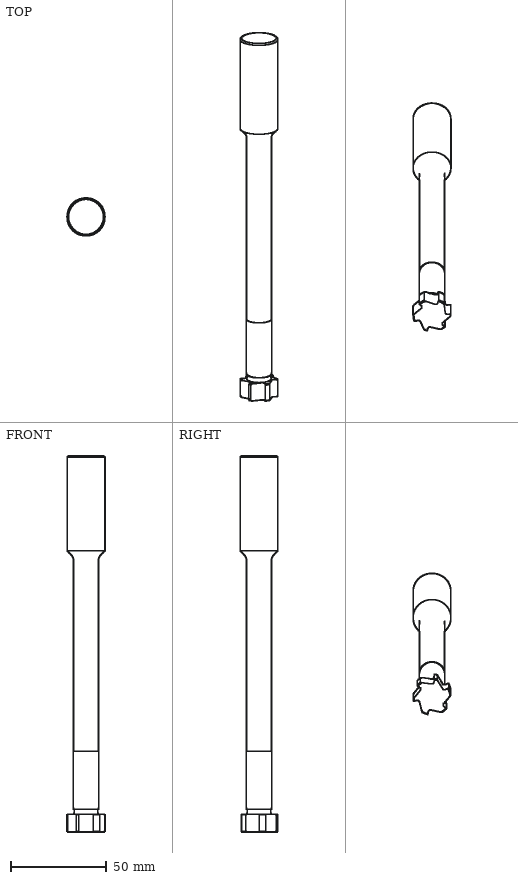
import cadquery as cq
import math


total_length = 198.0
grip_diameter = 20.0
grip_length = 50.0
grip_chamfer = 0.8
rod_diameter = 13.2
taper_diameter = 16.0
transition_radius = 4.5

extension_diameter = 13.65
extension_bottom = 12.1
extension_top = 42.6
extension_tip_diameter = 13.2
extension_tip_height = 0.9

neck_diameter = 12.41
neck_cone_diameter = 12.9
neck_cone_height = 1.0
head_diameter = 20.0
head_height = 9.5
head_chamfer = 0.5
core_radius = 7.1
gullet_radius = 1.0

cutting_edge_angles = [-68.0, 1.0, 65.0, 128.0, 180.0, 239.0]


def make_shank():
    grip_radius = grip_diameter / 2
    rod_radius = rod_diameter / 2
    taper_radius = taper_diameter / 2
    grip_bottom = total_length - grip_length
    taper_bottom = grip_bottom - (grip_radius - taper_radius)
    fillet_angle = math.acos(1 - (taper_radius - rod_radius) / transition_radius)
    fillet_bottom = taper_bottom - transition_radius * math.sin(fillet_angle)
    fillet_middle = (
        rod_radius + transition_radius * (1 - math.cos(fillet_angle / 2)),
        fillet_bottom + transition_radius * math.sin(fillet_angle / 2),
    )
    return (
        cq.Workplane("XZ")
        .moveTo(0, extension_top)
        .lineTo(rod_radius, extension_top)
        .lineTo(rod_radius, fillet_bottom)
        .threePointArc(fillet_middle, (taper_radius, taper_bottom))
        .lineTo(grip_radius, grip_bottom)
        .lineTo(grip_radius, total_length - grip_chamfer)
        .lineTo(grip_radius - grip_chamfer, total_length)
        .lineTo(0, total_length)
        .close()
        .revolve(360, (0, 0, 0), (0, 1, 0))
    )


def make_extension():
    return (
        cq.Workplane("XZ")
        .moveTo(0, extension_bottom)
        .lineTo(extension_tip_diameter / 2, extension_bottom)
        .lineTo(extension_diameter / 2, extension_bottom + extension_tip_height)
        .lineTo(extension_diameter / 2, extension_top)
        .lineTo(0, extension_top)
        .close()
        .revolve(360, (0, 0, 0), (0, 1, 0))
    )


def make_gullet_cut(rake_angle):
    """Space in front of one radial rake face, above a floor square to that face."""
    clearance = head_diameter
    return (
        cq.Workplane("XY")
        .moveTo(core_radius, 0)
        .lineTo(core_radius, -clearance)
        .lineTo(clearance, -clearance)
        .lineTo(clearance, 0)
        .close()
        .extrude(head_height)
        .edges("|Z and <X and >Y")
        .fillet(gullet_radius)
        .rotate((0, 0, 0), (0, 0, 1), rake_angle)
    )


def make_cutter():
    head = cq.Workplane("XY").circle(head_diameter / 2).extrude(head_height)
    head = head.faces("<Z or >Z").chamfer(head_chamfer)
    for rake_angle in cutting_edge_angles:
        head = head.cut(make_gullet_cut(rake_angle))
    neck = (
        cq.Workplane("XZ")
        .moveTo(0, head_height)
        .lineTo(neck_cone_diameter / 2, head_height)
        .lineTo(neck_diameter / 2, head_height + neck_cone_height)
        .lineTo(neck_diameter / 2, extension_bottom)
        .lineTo(0, extension_bottom)
        .close()
        .revolve(360, (0, 0, 0), (0, 1, 0))
    )
    return head.union(neck)


shank = make_shank()
extension = make_extension()
cutter = make_cutter()

result = cq.Compound.makeCompound([shank.val(), extension.val(), cutter.val()])